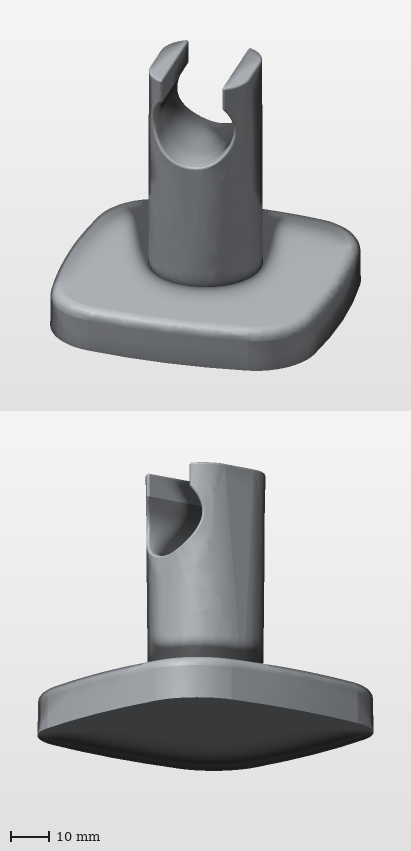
import cadquery as cq
import math

base_half = 37.3
side_bow = 1.6
side_half_length = 21.65
base_peak = 11.9
dome_rise = 0.4
base_draft = 0.6
base_edge_round = 2.8

foot_half = 14.9
foot_corner = 14.8
head_half = 13.6
head_corner = 8.6
total_height = 69.25
post_edge_round = 0.6

bore_radius = 10.5
bore_height = 56.3
slot_half = 8.05

overlap = 0.75
select_margin = 0.1


def quarter_turned(x, y, turns):
    """Point turned counter-clockwise about the origin by whole quarter turns."""
    for _ in range(turns):
        x, y = -y, x
    return x, y


def bowed_square():
    """Outline with four bowed sides joined by tangent corner arcs."""
    side_end = base_half - side_bow
    bow_radius = (side_half_length**2 + side_bow**2) / (2 * side_bow)
    end_angle = math.asin(side_half_length / bow_radius)
    corner_radius = (side_end - side_half_length) / (math.cos(end_angle) - math.sin(end_angle))
    corner_centre = side_half_length - corner_radius * math.sin(end_angle)
    corner_mid = corner_centre + corner_radius * math.sqrt(0.5)
    outline = cq.Workplane("XY").moveTo(side_end, -side_half_length)
    for quarter in range(4):
        outline = outline.threePointArc(
            quarter_turned(base_half, 0, quarter),
            quarter_turned(side_end, side_half_length, quarter),
        )
        outline = outline.threePointArc(
            quarter_turned(corner_mid, corner_mid, quarter),
            quarter_turned(side_half_length, side_end, quarter),
        )
    return outline.close()


def make_base():
    dome_radius = (base_half**2 + dome_rise**2) / (2 * dome_rise)
    dome = cq.Workplane("XY").sphere(dome_radius).translate((0, 0, base_peak - dome_radius))
    plate = bowed_square().extrude(base_peak + overlap, taper=base_draft).intersect(dome)
    return plate.faces(">Z").edges().fillet(base_edge_round)


def rounded_square(half, corner, height):
    sketch = cq.Sketch().rect(2 * half, 2 * half).vertices().fillet(corner)
    return sketch.moved(cq.Location(cq.Vector(0, 0, height)))


def make_post():
    foot_height = base_peak - dome_rise - overlap
    foot = rounded_square(foot_half, foot_corner, foot_height)
    head = rounded_square(head_half, head_corner, total_height)
    post = cq.Workplane("XY").placeSketch(foot, head).loft()

    depth = 4 * foot_half
    bore = cq.Workplane("XZ").center(0, bore_height).circle(bore_radius).extrude(depth / 2, both=True)
    slot_height = total_height - bore_height + overlap
    slot = cq.Workplane("XY").box(2 * slot_half, depth, slot_height, centered=(True, True, False))
    slot = slot.translate((0, 0, bore_height))
    post = post.cut(bore.union(slot))

    cradle_zone = cq.selectors.BoxSelector(
        (-bore_radius - select_margin, -foot_half, bore_height - bore_radius - select_margin),
        (bore_radius + select_margin, foot_half, total_height - select_margin),
    )
    rims = post.edges(cradle_zone).edges("not |Y")
    prong_tops = post.faces(">Z").edges()
    return post.newObject(rims.vals() + prong_tops.vals()).fillet(post_edge_round)


result = make_base().union(make_post())